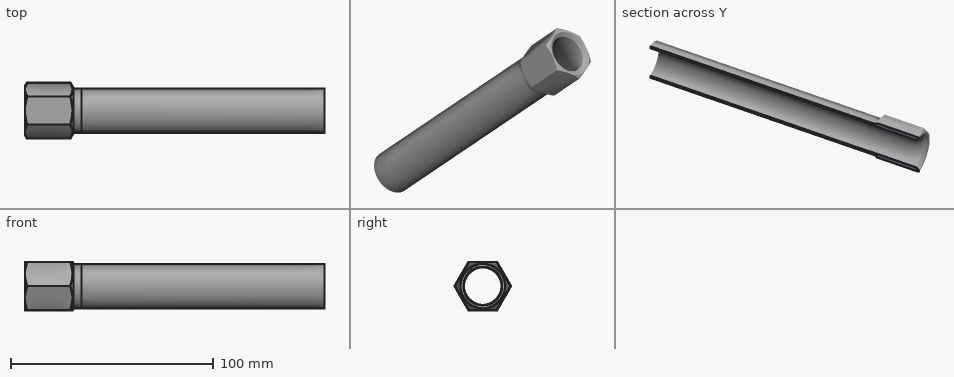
import cadquery as cq
import math

fitting_length = 28.0
tube_length = 120.0
total_length = fitting_length + tube_length
fitting_start = -total_length / 2
tube_start = fitting_start + fitting_length

hex_sides = 6
across_flats = 24.0
half_flat_angle = 180 / hex_sides
across_corners = across_flats / math.cos(math.radians(half_flat_angle))
hex_length = 24.0
face_diameter = across_flats
corner_chamfer_angle = 30.0
thread_bore_diameter = 18.63
mouth_diameter = 22.2
mouth_half_angle = 45.0

tube_outer_diameter = 22.0
tube_bore_diameter = 19.0


def revolve_about_x(profile):
    """Turn a closed (axial, radial) profile about the X axis."""
    return profile.revolve(360, (0, 0, 0), (1, 0, 0))


def corner_chamfer_length(end_diameter):
    """Axial length of a chamfer from an end circle out to the hex corners."""
    radial_rise = (across_corners - end_diameter) / 2
    return radial_rise * math.tan(math.radians(corner_chamfer_angle))


def make_fitting():
    """Hex head with chamfered corners, a round collar and a countersunk through bore."""
    hex_prism = (
        cq.Workplane("YZ")
        .polygon(hex_sides, across_corners)
        .extrude(fitting_length)
    )
    turned_envelope = revolve_about_x(
        cq.Workplane("XY")
        .moveTo(0, 0)
        .lineTo(0, face_diameter / 2)
        .lineTo(corner_chamfer_length(face_diameter), across_corners / 2)
        .lineTo(hex_length - corner_chamfer_length(tube_outer_diameter), across_corners / 2)
        .lineTo(hex_length, tube_outer_diameter / 2)
        .lineTo(fitting_length, tube_outer_diameter / 2)
        .lineTo(fitting_length, 0)
        .close()
    )
    mouth_widening = (mouth_diameter - thread_bore_diameter) / 2
    mouth_depth = mouth_widening / math.tan(math.radians(mouth_half_angle))
    bore = revolve_about_x(
        cq.Workplane("XY")
        .moveTo(0, 0)
        .lineTo(0, mouth_diameter / 2)
        .lineTo(mouth_depth, thread_bore_diameter / 2)
        .lineTo(fitting_length, thread_bore_diameter / 2)
        .lineTo(fitting_length, 0)
        .close()
    )
    return hex_prism.intersect(turned_envelope).cut(bore).translate((fitting_start, 0, 0))


def make_tube():
    """Plain round tube butted against the fitting's collar."""
    return (
        cq.Workplane("YZ", origin=(tube_start, 0, 0))
        .circle(tube_outer_diameter / 2)
        .circle(tube_bore_diameter / 2)
        .extrude(tube_length)
    )


fitting = make_fitting()
tube = make_tube()

result = cq.Compound.makeCompound([fitting.val(), tube.val()])